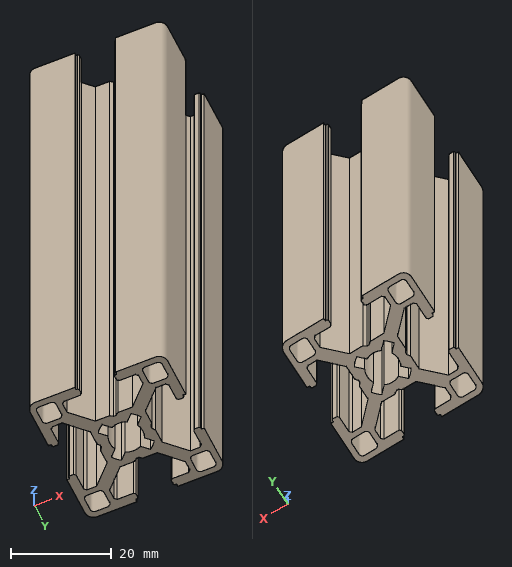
import cadquery as cq
import math

SIDE = 30.0
LENGTH = 120.0
CORNER_RADIUS = 1.9

SLOT_OPENING = 7.7
SLOT_INNER_WIDTH = 16.5
LIP_THICKNESS = 2.2
LIP_STEP = 0.6
LIP_TIP_CHAMFER = 0.2
LIP_INNER_CHAMFER = 0.4
POCKET_CORNER_CHAMFER = 0.5

CORE_SIDE = 12.0
WEB_THICKNESS = 2.8
NOTCH_WIDTH = 1.8
NOTCH_FLOOR_WIDTH = 0.5
NOTCH_DEPTH = 0.5

BORE_DIAMETER = 7.2
RELIEF_WIDTH = 2.2
RELIEF_DIAMETER = 11.3

CAVITY_SIDE = 4.2
CAVITY_RADIUS = 0.8
CAVITY_OUTER_WALL = 1.3


def extrude_half_outline(right_half):
    """Mirror a half outline about the Y axis and extrude it along the part."""
    left_half = [(-x, y) for x, y in reversed(right_half)]
    return cq.Workplane("XY").polyline(right_half + left_half).close().extrude(LENGTH)


def make_slot():
    """T-slot open toward +Y, with a shallow tapered notch in the middle of its floor."""
    outer = SIDE / 2
    lip_inside = outer - LIP_THICKNESS
    step_floor = outer - LIP_STEP
    opening = SLOT_OPENING / 2
    pocket = SLOT_INNER_WIDTH / 2
    floor = CORE_SIDE / 2
    web_offset = WEB_THICKNESS / math.sqrt(2)
    return extrude_half_outline([
        (NOTCH_FLOOR_WIDTH / 2, floor - NOTCH_DEPTH),
        (NOTCH_WIDTH / 2, floor),
        (floor - web_offset, floor),
        (pocket, pocket + web_offset),
        (pocket, lip_inside - POCKET_CORNER_CHAMFER),
        (pocket - POCKET_CORNER_CHAMFER, lip_inside),
        (opening + LIP_INNER_CHAMFER, lip_inside),
        (opening, lip_inside + LIP_INNER_CHAMFER),
        (opening, step_floor - LIP_TIP_CHAMFER),
        (opening + LIP_TIP_CHAMFER, step_floor),
        (opening + LIP_STEP, step_floor),
        (opening + LIP_STEP, outer),
    ])


def make_core_bore():
    """Round bore crossed by two diagonal relief slots with round ends."""
    bore = cq.Workplane("XY").circle(BORE_DIAMETER / 2).extrude(LENGTH)
    relief_envelope = cq.Workplane("XY").circle(RELIEF_DIAMETER / 2).extrude(LENGTH)
    relief = cq.Workplane("XY").rect(RELIEF_DIAMETER, RELIEF_WIDTH).extrude(LENGTH)
    relief = relief.intersect(relief_envelope)
    for angle in (45, 135):
        bore = bore.union(relief.rotate((0, 0, 0), (0, 0, 1), angle))
    return bore


def make_corner_cavities():
    """Rounded square channels through the four corners."""
    spacing = SIDE - 2 * CAVITY_OUTER_WALL - CAVITY_SIDE
    return (
        cq.Workplane("XY")
        .rect(spacing, spacing, forConstruction=True)
        .vertices()
        .rect(CAVITY_SIDE, CAVITY_SIDE)
        .extrude(LENGTH)
        .edges("|Z")
        .fillet(CAVITY_RADIUS)
    )


result = cq.Workplane("XY").rect(SIDE, SIDE).extrude(LENGTH).edges("|Z").fillet(CORNER_RADIUS)
slot = make_slot()
for quarter_turn in range(4):
    result = result.cut(slot.rotate((0, 0, 0), (0, 0, 1), 90 * quarter_turn))
result = result.cut(make_core_bore()).cut(make_corner_cavities())